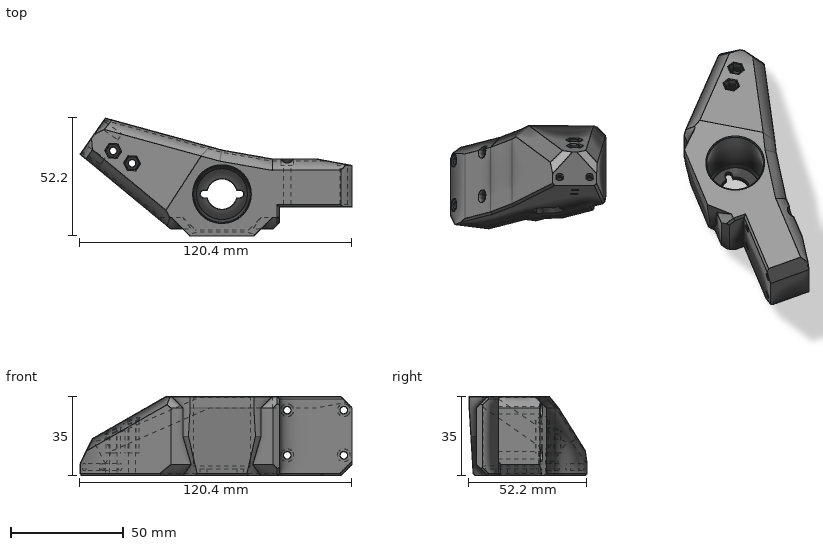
import cadquery as cq
import math

LENGTH = 120.4
WIDTH = 52.2
HEIGHT = 35.0
SMALL_BEVEL = 1.0
BIG_BEVEL = 5 * SMALL_BEVEL
OVERSIZE = 361.1
DOWN = cq.Vector(0, 0, -1)
UP = cq.Vector(0, 0, 1)
BACKWARD = cq.Vector(0, 1, 0)
LEFTWARD = cq.Vector(-1, 0, 0)

HUB_HALF_WIDTH = 22.6
HUB_FRONT_Y = -15.4
HUB_RIGHT_X = 25.4
HUB_CORNER = 2.8
BACK_Y = 19.5
BACK_ANGLE = 10.0

END_MIDDLE = (-57.2, 25.6)
END_WIDTH = 19.5
AXIS_ANGLE = 35.0
FOLD_POINT = (-24.8, -7.1)
FOLD_ANGLE = 57.0
SLOPE_ANGLE = 24.0
END_CORNER_HEIGHT = 5.3
END_PEAK_HEIGHT = 15.0
END_PEAK_HALF_WIDTH = 1.0
END_FACET_FRONT_INSET = 3.5
END_FACET_BACK_INSET = 2.5
END_FACET_HALF_WIDTH = 5.4
END_FACET_HEIGHT = 16.2

SCREW_DIAMETER = 3.2
NUT_FLATS = 5.5
NUT_CHAMFER = 0.5
NUT_FLOOR = 10.0
NUT_FIRST = (-48.1, 19.1)
NUT_SPACING = 10.0
NUT_ROW_ANGLE = 33.4
END_HOLE_SPACING = 13.2
END_HOLE_HEIGHT = 3.9
END_HOLE_DEPTH = 10.0

NOSE_HALF_WIDTH = 14.1
NOSE_DRAFT = 1.8
NOSE_WAIST_HEIGHT = 17.5
NOSE_SIDE_LEAN = 0.29

PLATE_LEFT_X = 22.3
PLATE_FRONT_Y = -5.7
PLATE_TAPER_X = 41.9
PLATE_TAPER_ANGLE = 10.5
PLATE_HOLE_FIRST = (28.9, 9.0)
PLATE_HOLE_PITCH = (25.0, 20.0)
HEAD_DIAMETER = 5.7
HEAD_DEPTH = 3.0

BORE_DIAMETER = 25.0
BORE_FLOOR_DIAMETER = 22.5
BORE_FLOOR = 3.0
BORE_CHAMFER = 0.5
SHAFT_DIAMETER = 13.5
KEYWAY_LENGTH = 19.3
KEYWAY_WIDTH = 3.2


def direction(angle):
    """Horizontal unit vector at an angle in degrees from +X."""
    return cq.Vector(math.cos(math.radians(angle)), math.sin(math.radians(angle)), 0)


def point(xy, z=0.0):
    return cq.Vector(xy[0], xy[1], z)


def cut_beyond(body, origin, normal):
    """Remove everything on the side of a plane that the normal points to."""
    waste = cq.Workplane(cq.Plane(origin, normal=normal)).rect(OVERSIZE, OVERSIZE).extrude(OVERSIZE)
    return body.cut(waste)


def bevel(body, edge_point, edge_direction, first_inward, second_inward, size):
    """Bevel a straight edge by the same distance along two inward directions."""
    first = edge_point + first_inward * size
    second = edge_point + second_inward * size
    normal = (second - first).cross(edge_direction)
    if normal.dot(edge_point - first) < 0:
        normal = normal * -1
    return cut_beyond(body, first, normal)


def rim_bevel(body, start, end, inward_z, size):
    """Bevel a horizontal rim above or below one wall of a counter-clockwise outline."""
    z = HEIGHT if inward_z is DOWN else 0.0
    along = (point(end) - point(start)).normalized()
    return bevel(body, point(start, z), along, inward_z, UP.cross(along), size)


arm_axis = direction(180 - AXIS_ANGLE)
end_across = direction(90 - AXIS_ANGLE)
end_middle = point(END_MIDDLE)
end_front = (end_middle - end_across * (END_WIDTH / 2)).toTuple()[:2]
end_back = (end_middle + end_across * (END_WIDTH / 2)).toTuple()[:2]
back_slope = math.tan(math.radians(BACK_ANGLE))
plate_taper = math.tan(math.radians(PLATE_TAPER_ANGLE))
nose_front_y = end_back[1] - WIDTH
plate_right_x = end_front[0] + LENGTH
plate_back_y = BACK_Y - PLATE_LEFT_X * back_slope


def make_hub_and_arm():
    hub_front_left = (-HUB_HALF_WIDTH, HUB_FRONT_Y)
    hub_front_right = (HUB_RIGHT_X - HUB_CORNER, HUB_FRONT_Y)
    hub_side_front = (HUB_RIGHT_X, HUB_FRONT_Y + HUB_CORNER)
    arm_back_slope = (end_back[1] - BACK_Y) / end_back[0]
    hub_side_back = (HUB_RIGHT_X, BACK_Y + HUB_RIGHT_X * arm_back_slope)
    outline = [hub_front_left, hub_front_right, hub_side_front, hub_side_back, end_back, end_front]
    body = cq.Workplane().polyline(outline).close().extrude(HEIGHT)

    downhill = direction(FOLD_ANGLE + 90)
    slope_sine = math.sin(math.radians(SLOPE_ANGLE))
    slope_cosine = math.cos(math.radians(SLOPE_ANGLE))
    slope_normal = downhill * slope_sine + UP * slope_cosine
    fold_point = point(FOLD_POINT, HEIGHT)
    body = cut_beyond(body, fold_point, slope_normal)

    for start, end in [(end_front, hub_front_left), (hub_side_back, end_back)]:
        along = (point(end) - point(start)).normalized()
        inward = UP.cross(along)
        drop = (fold_point - point(start)).dot(slope_normal) / slope_cosine
        edge_direction = inward.cross(slope_normal).normalized()
        down_wall = inward.cross(edge_direction)
        inward_on_slope = slope_normal.cross(edge_direction)
        body = bevel(body, point(start, drop), edge_direction, down_wall, inward_on_slope, BIG_BEVEL)

    for side, inset in [(-1, END_FACET_FRONT_INSET), (1, END_FACET_BACK_INSET)]:
        across = end_across * side
        corner = end_middle + across * (END_WIDTH / 2) + UP * END_CORNER_HEIGHT
        peak = end_middle + across * END_PEAK_HALF_WIDTH + UP * END_PEAK_HEIGHT
        inner = end_middle + across * END_FACET_HALF_WIDTH - arm_axis * inset + UP * END_FACET_HEIGHT
        normal = (peak - corner).cross(inner - corner)
        if normal.z < 0:
            normal = normal * -1
        body = cut_beyond(body, corner, normal)

    body = rim_bevel(body, hub_front_left, hub_front_right, DOWN, BIG_BEVEL)
    body = rim_bevel(body, hub_side_front, hub_side_back, DOWN, SMALL_BEVEL)
    body = rim_bevel(body, hub_side_back, end_back, DOWN, BIG_BEVEL)
    body = rim_bevel(body, hub_front_left, hub_front_right, UP, BIG_BEVEL)
    walls_with_small_bevel = [
        (hub_side_front, hub_side_back),
        (hub_side_back, end_back),
        (end_front, hub_front_left),
    ]
    for start, end in walls_with_small_bevel:
        body = rim_bevel(body, start, end, UP, SMALL_BEVEL)

    for z, inward_z in [(HEIGHT - BIG_BEVEL, DOWN), (BIG_BEVEL, UP)]:
        corner = cq.Vector(HUB_RIGHT_X, HUB_FRONT_Y, z)
        edge_direction = (inward_z - BACKWARD).normalized()
        down_side = (inward_z + BACKWARD).normalized()
        body = bevel(body, corner, edge_direction, down_side, LEFTWARD, SMALL_BEVEL)
    return body


def make_neck():
    """Back wall between the arm and the plate, at its own angle."""
    right_back = (PLATE_LEFT_X, plate_back_y)
    left_back = (-BIG_BEVEL, BACK_Y + BIG_BEVEL * back_slope)
    left_front = (-BIG_BEVEL, 0.0)
    right_front = (PLATE_LEFT_X, 0.0)
    neck = cq.Workplane().polyline([left_front, right_front, right_back, left_back]).close().extrude(HEIGHT)
    neck = rim_bevel(neck, right_back, left_back, DOWN, BIG_BEVEL)
    return rim_bevel(neck, right_back, left_back, UP, SMALL_BEVEL)


def make_nose():
    draft_top = HEIGHT - BIG_BEVEL
    lean_run = NOSE_WAIST_HEIGHT * NOSE_SIDE_LEAN
    draft_run = NOSE_DRAFT / draft_top
    foot_y = nose_front_y + (draft_top - SMALL_BEVEL) * draft_run
    levels = [
        (0.0, foot_y + SMALL_BEVEL, lean_run),
        (SMALL_BEVEL, foot_y, lean_run - SMALL_BEVEL * NOSE_SIDE_LEAN),
        (NOSE_WAIST_HEIGHT, nose_front_y + (draft_top - NOSE_WAIST_HEIGHT) * draft_run, 0.0),
        (draft_top, nose_front_y, 0.0),
        (HEIGHT, nose_front_y, 0.0),
    ]
    nose = None
    for (low, low_y, low_lean), (high, high_y, high_lean) in zip(levels, levels[1:]):
        lower = nose_section(low_y, low_lean)
        upper = nose_section(high_y, high_lean)
        layer = (
            cq.Workplane().workplane(offset=low).polyline(lower).close()
            .workplane(offset=high - low).polyline(upper).close().loft(ruled=True)
        )
        nose = layer if nose is None else nose.union(layer)
    return nose


def nose_section(front_y, lean):
    """Trapezoid with 45 degree sides, closed inside the hub."""
    back_y = HUB_FRONT_Y + BIG_BEVEL
    front_half = NOSE_HALF_WIDTH + (front_y - nose_front_y) - lean
    back_half = NOSE_HALF_WIDTH + (back_y - nose_front_y) - lean
    return [(-back_half, back_y), (-front_half, front_y), (front_half, front_y), (back_half, back_y)]


def make_plate():
    front_left = (PLATE_LEFT_X, PLATE_FRONT_Y)
    front_right = (plate_right_x, PLATE_FRONT_Y)
    end_back_y = plate_back_y - (plate_right_x - PLATE_TAPER_X) * plate_taper
    back_right = (plate_right_x, end_back_y)
    taper_start = (PLATE_TAPER_X, plate_back_y)
    back_left = (PLATE_LEFT_X, plate_back_y)
    plate = (
        cq.Workplane()
        .polyline([front_left, front_right, back_right, taper_start, back_left]).close()
        .extrude(HEIGHT)
    )
    plate = rim_bevel(plate, front_right, back_right, DOWN, BIG_BEVEL)
    plate = rim_bevel(plate, front_right, back_right, UP, BIG_BEVEL)
    plate = rim_bevel(plate, taper_start, back_left, DOWN, BIG_BEVEL)
    plate = rim_bevel(plate, front_left, front_right, DOWN, SMALL_BEVEL)
    plate = rim_bevel(plate, front_left, front_right, UP, SMALL_BEVEL)
    plate = rim_bevel(plate, taper_start, back_left, UP, SMALL_BEVEL)

    along_cut = (UP - LEFTWARD).normalized()
    inward_on_front = (UP + LEFTWARD).normalized()
    corner = cq.Vector(plate_right_x, PLATE_FRONT_Y, BIG_BEVEL)
    return bevel(plate, corner, along_cut, BACKWARD, inward_on_front, SMALL_BEVEL)


def make_bore():
    radius = BORE_DIAMETER / 2
    floor_radius = BORE_FLOOR_DIAMETER / 2
    profile = [
        (0, BORE_FLOOR),
        (floor_radius, BORE_FLOOR),
        (radius, BORE_FLOOR + radius - floor_radius),
        (radius, HEIGHT - BORE_CHAMFER),
        (radius + BORE_CHAMFER, HEIGHT),
        (0, HEIGHT),
    ]
    bore = cq.Workplane("XZ").polyline(profile).close().revolve(360, (0, 0, 0), (0, 1, 0))
    shaft = cq.Workplane().circle(SHAFT_DIAMETER / 2).extrude(HEIGHT / 2)
    keyway = cq.Workplane().slot2D(KEYWAY_LENGTH, KEYWAY_WIDTH).extrude(HEIGHT / 2)
    return bore.union(shaft).union(keyway)


def make_nut_hole(place):
    """Vertical screw hole under a hexagonal nut pocket with a chamfered mouth on the slope."""
    downhill = direction(FOLD_ANGLE + 90)
    fall = math.tan(math.radians(SLOPE_ANGLE))
    mouth_height = HEIGHT - (place - point(FOLD_POINT)).dot(downhill) * fall
    corner_scale = 1 / math.cos(math.radians(30))

    def hexagon(flats, height_offset, follow_slope):
        corners = []
        for index in range(6):
            spot = direction(30 - NUT_ROW_ANGLE + 60 * index) * (flats / 2 * corner_scale)
            height = mouth_height + height_offset - follow_slope * spot.dot(downhill) * fall
            corners.append(place + spot + UP * height)
        return cq.Wire.makePolygon(corners, close=True)

    pocket_depth = mouth_height - NUT_FLOOR
    pocket = cq.Solid.extrudeLinear(hexagon(NUT_FLATS, -pocket_depth, 0), [], UP * HEIGHT)
    inner = hexagon(NUT_FLATS, -NUT_CHAMFER, 1)
    outer = hexagon(NUT_FLATS + 2 * NUT_CHAMFER, 0, 1)
    mouth = cq.Solid.makeLoft([inner, outer], True)
    screw = cq.Solid.makeCylinder(SCREW_DIAMETER / 2, HEIGHT, place)
    return cq.Workplane(pocket).union(mouth).union(screw)


def make_end_hole(side):
    start = end_middle + end_across * (side * END_HOLE_SPACING / 2) + UP * END_HOLE_HEIGHT
    return cq.Workplane(cq.Solid.makeCylinder(SCREW_DIAMETER / 2, END_HOLE_DEPTH, start, arm_axis * -1))


def make_plate_hole(column, row):
    """Screw hole through the plate, counterbored from the back."""
    x = PLATE_HOLE_FIRST[0] + column * PLATE_HOLE_PITCH[0]
    z = PLATE_HOLE_FIRST[1] + row * PLATE_HOLE_PITCH[1]
    start = cq.Vector(x, PLATE_FRONT_Y, z)
    screw = cq.Solid.makeCylinder(SCREW_DIAMETER / 2, plate_back_y - PLATE_FRONT_Y, start, BACKWARD)
    head_floor = cq.Vector(x, plate_back_y - HEAD_DEPTH, z)
    head = cq.Solid.makeCylinder(HEAD_DIAMETER / 2, HEAD_DEPTH, head_floor, BACKWARD)
    return cq.Workplane(screw).union(head)


result = make_hub_and_arm().union(make_neck()).union(make_plate()).union(make_nose())
result = result.cut(make_bore())
for index in range(2):
    nut_place = point(NUT_FIRST) + direction(-NUT_ROW_ANGLE) * (index * NUT_SPACING)
    result = result.cut(make_nut_hole(nut_place))
for side in (-1, 1):
    result = result.cut(make_end_hole(side))
for column in range(2):
    for row in range(2):
        result = result.cut(make_plate_hole(column, row))